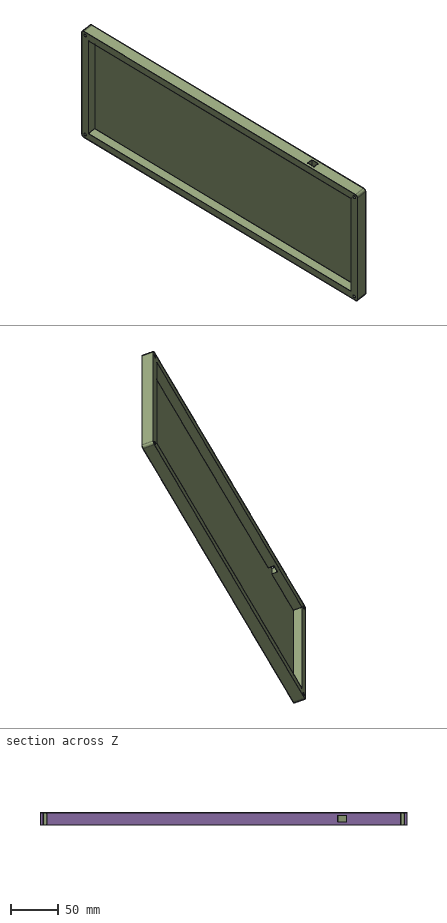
import cadquery as cq

length = 387.0
thickness = 13.0
height = 153.5
corner_radius = 3.0

recess_length = 368.0
rim_width = (length - recess_length) / 2
recess_height = height - 2 * rim_width
floor_thickness = 3.0
recess_depth = thickness - floor_thickness

hole_diameter = 3.4
hole_inset = rim_width / 2

opening_length = 9.0
opening_width = 6.5
opening_center_x = 125.0
opening_back_gap = 3.0

front_y = -thickness / 2
back_y = thickness / 2


def tray_blank():
    """Solid plate with rounded corners."""
    plate = cq.Workplane("XY").box(length, thickness, height)
    return plate.edges("|Y").fillet(corner_radius)


def recess():
    """Rectangular recess, open at the front face."""
    center_y = front_y + recess_depth / 2
    block = cq.Workplane("XY").box(recess_length, recess_depth, recess_height)
    return block.translate((0, center_y, 0))


def screw_holes():
    """Pins for the four through holes, spanning the full thickness."""
    spacing_x = length - 2 * hole_inset
    spacing_z = height - 2 * hole_inset
    return (
        cq.Workplane("XZ", origin=(0, back_y, 0))
        .rect(spacing_x, spacing_z, forConstruction=True)
        .vertices()
        .circle(hole_diameter / 2)
        .extrude(thickness)
    )


def cable_opening():
    """Rectangular passage from the top edge down into the recess."""
    center_y = back_y - opening_back_gap - opening_width / 2
    center_z = height / 2 - rim_width / 2
    block = cq.Workplane("XY").box(opening_length, opening_width, rim_width)
    return block.translate((opening_center_x, center_y, center_z))


result = tray_blank().cut(recess()).cut(screw_holes()).cut(cable_opening())